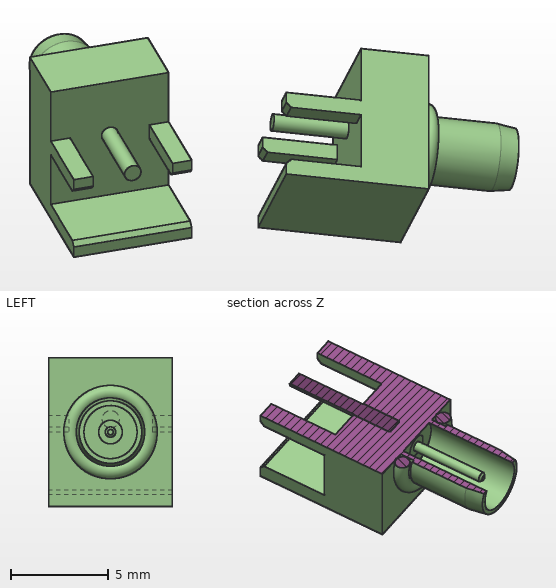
import cadquery as cq


LENGTH = 12.65
BLOCK_WIDTH = 6.35
BLOCK_HEIGHT = 7.65
BLOCK_FRONT = 5.12
BLOCK_BACK = 8.7
LEG_WIDTH = 1.04
LEG_BOTTOM = 0.03
LEG_TOP = 0.86
PLATE_THICKNESS = 0.87
LEG_CHAMFER = 0.25

BARREL_RADIUS = 1.76
NOSE_RADIUS = 1.61
NOSE_LENGTH = 1.0
BORE_RADIUS = 1.37

RING_OUTER_RADIUS = 2.4
RING_SECTION_RADIUS = 0.39
RING_CENTER_RADIUS = RING_OUTER_RADIUS - RING_SECTION_RADIUS
GROOVE_RADIUS = RING_CENTER_RADIUS - RING_SECTION_RADIUS
GROOVE_WIDTH = 0.8
GROOVE_FRONT = BLOCK_FRONT - GROOVE_WIDTH
RING_X = BLOCK_FRONT - RING_SECTION_RADIUS

NEEDLE_START = NOSE_LENGTH
NEEDLE_RADIUS = 0.27
NEEDLE_TIP_RADIUS = 0.14
NEEDLE_CHAMFER = NEEDLE_RADIUS - NEEDLE_TIP_RADIUS
SHANK_RADIUS = 0.61
TAIL_RADIUS = 0.44
TAIL_Z = 0.67
BLOCK_MIDDLE = (BLOCK_FRONT + BLOCK_BACK) / 2
SHANK_END = BLOCK_MIDDLE + TAIL_RADIUS
TAIL_START = BLOCK_MIDDLE - TAIL_RADIUS


def cylinder_x(start, end, radius, z=0):
    """Cylinder along X between two stations."""
    return cq.Workplane("YZ", origin=(start, 0, z)).circle(radius).extrude(end - start)


def box_between(x_range, y_range, z_range):
    """Axis-aligned box given by its limits."""
    (x0, x1), (y0, y1), (z0, z1) = x_range, y_range, z_range
    return cq.Workplane("XY").box(x1 - x0, y1 - y0, z1 - z0, centered=False).translate((x0, y0, z0))


def make_contact():
    needle = cylinder_x(NEEDLE_START, BLOCK_FRONT, NEEDLE_RADIUS).faces("<X").chamfer(NEEDLE_CHAMFER)
    shank = cylinder_x(BLOCK_FRONT, SHANK_END, SHANK_RADIUS)
    tail = cylinder_x(TAIL_START, LENGTH, TAIL_RADIUS, TAIL_Z)
    return needle.union(shank).union(tail)


def make_ring():
    return cq.Workplane("XY").add(
        cq.Solid.makeTorus(
            RING_CENTER_RADIUS, RING_SECTION_RADIUS, cq.Vector(RING_X, 0, 0), cq.Vector(1, 0, 0)
        )
    )


def make_barrel():
    """Grooved tube with a tapered nose, closed at the block's front face."""
    return (
        cq.Workplane("XY")
        .moveTo(0, BORE_RADIUS)
        .lineTo(0, NOSE_RADIUS)
        .lineTo(NOSE_LENGTH, BARREL_RADIUS)
        .lineTo(GROOVE_FRONT, BARREL_RADIUS)
        .lineTo(GROOVE_FRONT, GROOVE_RADIUS)
        .lineTo(BLOCK_FRONT, GROOVE_RADIUS)
        .lineTo(BLOCK_FRONT, BORE_RADIUS)
        .close()
        .revolve(360, (0, 0, 0), (1, 0, 0))
    )


def make_housing(contact):
    half_width = BLOCK_WIDTH / 2
    half_height = BLOCK_HEIGHT / 2
    full_width = (-half_width, half_width)
    rear = (BLOCK_BACK, LENGTH)

    block = box_between((BLOCK_FRONT, BLOCK_BACK), full_width, (-half_height, half_height))
    plate = box_between(rear, full_width, (-half_height, PLATE_THICKNESS - half_height))
    housing = block.union(make_barrel()).union(plate.edges(">X and >Z").chamfer(LEG_CHAMFER))
    for y_start in (-half_width, half_width - LEG_WIDTH):
        leg = box_between(rear, (y_start, y_start + LEG_WIDTH), (LEG_BOTTOM, LEG_TOP))
        housing = housing.union(leg.edges(">X and <Z").chamfer(LEG_CHAMFER))
    return housing.cut(contact)


contact = make_contact()
ring = make_ring()
housing = make_housing(contact)

result = cq.Compound.makeCompound([housing.val(), ring.val(), contact.val()])